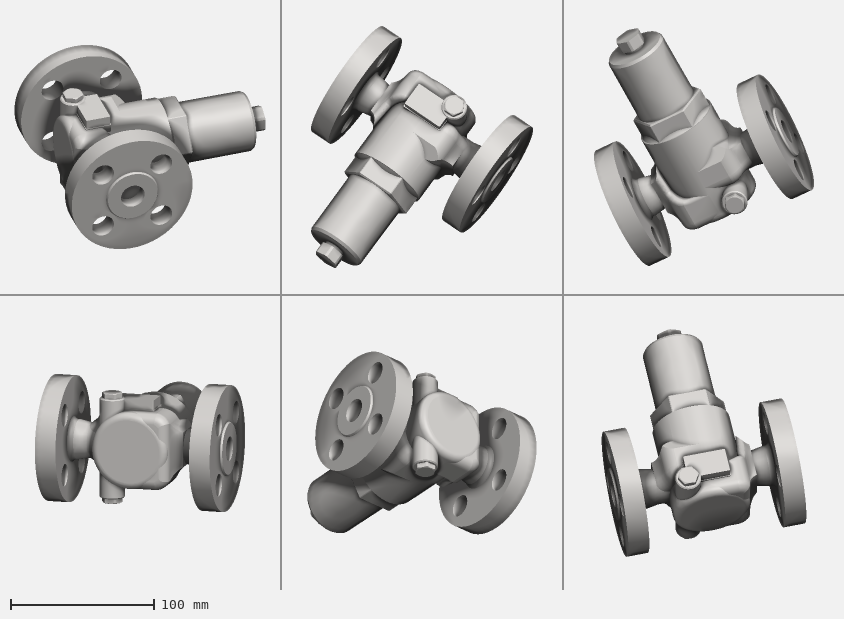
import cadquery as cq
import math


length = 130.0
overall_depth = 160.73
flange_dia = 88.9
flange_thickness = 15.0
raised_face_dia = 38.2
raised_face_height = 1.5
raised_face_inset = 0.9
bolt_circle_dia = 60.5
bolt_hole_dia = 15.9
bolt_hole_count = 4
first_bolt_angle = 45.0
bore_dia = 17.34
bore_depth = 10.0

hub_radius = 16.0
hub_blend_length = 4.0
hub_blend_mid_radius = 14.8
hub_end_radius = 14.2
waist_radius = 12.5
waist_x = 35.0
neck_inner_x = 12.0

body_dia = 55.0
body_bottom_y = -29.4
body_top_y = 42.6
body_bottom_fillet = 5.0
collar_base_radius = 26.5
collar_top_radius = 23.0
collar_height = 2.6

chamber_flat_x = 19.2
shoulder_mid = (24.8, 24.9)
shoulder_end = (28.5, 19.5)
hollow_mid = (31.4, 15.0)
outline_margin = 5.0

inlet_y_range = (-10.0, 21.5)
inlet_slope_length = 9.5
inlet_slope_drop = 6.3
inlet_fillet = 9.0
inlet_shoulder_x = 17.5
inlet_shoulder_mid = (23.8, 19.6)
inlet_shoulder_end = (27.5, 15.5)
inlet_hollow_mid = (30.4, 13.2)

outlet_y_range = (-29.0, 21.0)
outlet_rim_fillet = 3.0
outlet_lower_fillet = 7.0
outlet_rim_start = (14.0, -4.5)
outlet_rim_mid = (20.5, -2.3)
outlet_rim_end = (24.5, 3.0)
outlet_peak = (27.0, 21.0)
outlet_upper_hollow_mid = (30.2, 15.2)
rim_region_start = (1.0, -6.0)
rim_region_end = (26.5, 22.0)
outlet_lower_hollow_mid = (30.6, -16.5)
outlet_lower_hollow_end = (28.0, -23.0)
outlet_corner_mid = (26.0, -26.8)
outlet_corner_x = 22.0

hex_across_flats = 46.0
hex_corner_dia = 52.7
hex_top_y = 57.3
hex_chamfer = 1.0
bonnet_base_y = 58.4
bonnet_base_dia = 43.0
bonnet_top_dia = 42.6
bonnet_top_y = 105.7
bonnet_chamfer_radial = 1.3
bonnet_chamfer_axial = 2.0
screw_neck_dia = 15.0
screw_head_flats = 17.0
screw_head_corner_dia = 18.6
screw_head_base_y = 107.9
screw_top_y = overall_depth - flange_dia / 2

boss_x = -15.0
boss_y = -17.5
boss_dia = 18.0
boss_half_height = 35.6
boss_chamfer = 0.8
plug_across_flats = 13.0
plug_corner_dia = 14.6
plug_half_height = 39.4
plug_chamfer_height = 0.6
plug_chamfer_radial = 1.2

pad_x_range = (-15.0, 14.9)
pad_y_range = (-17.5, 0.1)
pad_top_z = 35.0
pad_corner_fillet = 0.7
pad_foot_margin = 0.6
pad_foot_top_z = 28.3


def turned_about_y(points):
    """Solid of revolution about Y from (radius, y) points."""
    return cq.Workplane("XY").polyline(points).close().revolve(360, (0, 0, 0), (0, 1, 0))


def y_cylinder(diameter, y_start, y_end):
    radius = diameter / 2
    return turned_about_y([(0, y_start), (radius, y_start), (radius, y_end), (0, y_end)])


def hex_circumdiameter(across_flats):
    return across_flats / math.cos(math.pi / 6)


def y_hexagon(across_flats, y_start, y_end, corners_on_x):
    """Hexagonal prism along Y with two corners on the X axis or on the Z axis."""
    height = y_end - y_start
    hexagon = (
        cq.Workplane("XZ", origin=(0, y_end, 0))
        .polygon(6, hex_circumdiameter(across_flats))
        .extrude(height)
    )
    return hexagon if corners_on_x else hexagon.rotate((0, 0, 0), (0, 1, 0), 30)


def make_pipe_end():
    """Flange, raised face, hub and neck on the +X side."""
    face_x = length / 2
    front_x = face_x - raised_face_height
    back_x = front_x - flange_thickness
    hub_end_x = back_x - hub_blend_length
    blend_mid = (back_x - hub_blend_length / 4, hub_blend_mid_radius)
    raised_radius = raised_face_dia / 2
    pipe_end = (
        cq.Workplane("XY")
        .moveTo(neck_inner_x, 0)
        .lineTo(neck_inner_x, waist_radius)
        .lineTo(waist_x, waist_radius)
        .lineTo(hub_end_x, hub_end_radius)
        .threePointArc(blend_mid, (back_x, hub_radius))
        .lineTo(back_x, flange_dia / 2)
        .lineTo(front_x, flange_dia / 2)
        .lineTo(front_x, raised_radius)
        .lineTo(face_x, raised_radius - raised_face_inset)
        .lineTo(face_x, 0)
        .close()
        .revolve(360, (0, 0, 0), (1, 0, 0))
    )
    bolt_holes = (
        cq.Workplane("YZ", origin=(back_x, 0, 0))
        .polarArray(bolt_circle_dia / 2, first_bolt_angle, 360, bolt_hole_count)
        .circle(bolt_hole_dia / 2)
        .extrude(flange_thickness)
    )
    bore = (
        cq.Workplane("YZ", origin=(face_x - bore_depth, 0, 0))
        .circle(bore_dia / 2)
        .extrude(bore_depth)
    )
    return pipe_end.cut(bolt_holes).cut(bore)


def make_body():
    barrel = y_cylinder(body_dia, body_bottom_y, body_top_y)
    barrel = barrel.faces("<Y").edges().fillet(body_bottom_fillet)
    collar_top_y = body_top_y + collar_height
    collar = turned_about_y([
        (0, body_top_y),
        (collar_base_radius, body_top_y),
        (collar_top_radius, collar_top_y),
        (0, collar_top_y),
    ])
    return barrel.union(collar)


def mirrored_z(point):
    x, z = point
    return (x, -z)


def make_chamber(y_range, lower_fillet):
    """Chamber on the +X side: full body height, narrowing to the neck, rounded below."""
    y_start, y_end = y_range
    half = body_dia / 2
    chamber = (
        cq.Workplane("XZ", origin=(0, y_end, 0))
        .moveTo(0, half)
        .lineTo(chamber_flat_x, half)
        .threePointArc(shoulder_mid, shoulder_end)
        .threePointArc(hollow_mid, (waist_x, waist_radius))
        .lineTo(waist_x, -waist_radius)
        .threePointArc(mirrored_z(hollow_mid), mirrored_z(shoulder_end))
        .threePointArc(mirrored_z(shoulder_mid), (chamber_flat_x, -half))
        .lineTo(0, -half)
        .close()
        .extrude(y_end - y_start)
    )
    return chamber.faces("<Y").edges("not(#X)").fillet(lower_fillet)


def make_inlet_chamber():
    """High chamber on the -X side, with a sloped upper end blending into the barrel."""
    y_start, y_end = inlet_y_range
    half = body_dia / 2
    slope_start_y = y_end - inlet_slope_length
    overshoot = 1.0
    slope_overshoot = overshoot * inlet_slope_length / inlet_slope_drop
    side_limits = (
        cq.Workplane("YZ", origin=(-overshoot, 0, 0))
        .polyline([
            (y_start - overshoot, half + overshoot),
            (slope_start_y - slope_overshoot, half + overshoot),
            (y_end, half - inlet_slope_drop),
            (y_end, inlet_slope_drop - half),
            (slope_start_y - slope_overshoot, -half - overshoot),
            (y_start - overshoot, -half - overshoot),
        ])
        .close()
        .extrude(waist_x + outline_margin)
    )
    plan_limits = (
        cq.Workplane("XY", origin=(0, 0, -body_dia))
        .moveTo(0, y_end)
        .lineTo(inlet_shoulder_x, y_end)
        .threePointArc(inlet_shoulder_mid, inlet_shoulder_end)
        .threePointArc(inlet_hollow_mid, (waist_x, waist_radius))
        .lineTo(waist_x, y_start)
        .lineTo(0, y_start)
        .close()
        .extrude(2 * body_dia)
    )
    chamber = make_chamber(inlet_y_range, inlet_fillet)
    return chamber.intersect(side_limits).intersect(plan_limits).mirror("YZ")


def make_outlet_chamber():
    """Low chamber on the +X side, reaching down to the body bottom."""
    y_start = outlet_y_range[0]
    beyond_x = waist_x + outline_margin
    plan_limits = (
        cq.Workplane("XY", origin=(0, 0, -body_dia))
        .moveTo(-outline_margin, outlet_rim_start[1])
        .lineTo(*outlet_rim_start)
        .threePointArc(outlet_rim_mid, outlet_rim_end)
        .lineTo(*outlet_peak)
        .threePointArc(outlet_upper_hollow_mid, (waist_x, waist_radius))
        .lineTo(beyond_x, waist_radius)
        .lineTo(beyond_x, -waist_radius)
        .lineTo(waist_x, -waist_radius)
        .threePointArc(outlet_lower_hollow_mid, outlet_lower_hollow_end)
        .threePointArc(outlet_corner_mid, (outlet_corner_x, y_start))
        .lineTo(-outline_margin, y_start)
        .close()
        .extrude(2 * body_dia)
    )
    chamber = make_chamber(outlet_y_range, outlet_lower_fillet).intersect(plan_limits)
    rim = cq.selectors.BoxSelector((*rim_region_start, -body_dia), (*rim_region_end, body_dia))
    return chamber.edges(rim).fillet(outlet_rim_fillet)


def make_bonnet():
    hexagon = y_hexagon(hex_across_flats, body_top_y, hex_top_y, True)
    hex_limits = y_cylinder(hex_corner_dia, body_top_y, hex_top_y)
    hexagon = hexagon.intersect(hex_limits).faces(">Y").edges().chamfer(hex_chamfer)
    top_radius = bonnet_top_dia / 2
    cap = turned_about_y([
        (0, hex_top_y),
        (bonnet_base_dia / 2, hex_top_y),
        (bonnet_base_dia / 2, bonnet_base_y),
        (top_radius, bonnet_top_y - bonnet_chamfer_axial),
        (top_radius - bonnet_chamfer_radial, bonnet_top_y),
        (0, bonnet_top_y),
    ])
    return hexagon.union(cap)


def make_screw():
    neck = y_cylinder(screw_neck_dia, bonnet_top_y, screw_head_base_y)
    head = y_hexagon(screw_head_flats, screw_head_base_y, screw_top_y, False)
    head = head.intersect(y_cylinder(screw_head_corner_dia, screw_head_base_y, screw_top_y))
    return neck.union(head)


def make_gauge_bosses():
    at_axis = cq.Workplane("XY").center(boss_x, boss_y)
    boss = at_axis.circle(boss_dia / 2).extrude(boss_half_height, both=True)
    boss = boss.faces("<Z or >Z").edges().chamfer(boss_chamfer)
    plug = at_axis.polygon(6, hex_circumdiameter(plug_across_flats)).extrude(plug_half_height, both=True)
    plug_limits = at_axis.circle(plug_corner_dia / 2).extrude(plug_half_height, both=True)
    plug_limits = plug_limits.faces("<Z or >Z").edges().chamfer(plug_chamfer_height, plug_chamfer_radial)
    return boss.union(plug.intersect(plug_limits))


def make_pad_block(margin, top_z):
    x_start, x_end = pad_x_range
    y_start, y_end = pad_y_range
    return (
        cq.Workplane("XY")
        .center((x_start + x_end) / 2, (y_start + y_end) / 2)
        .rect(x_end - x_start + 2 * margin, y_end - y_start + 2 * margin)
        .extrude(top_z)
        .edges("|Z")
        .fillet(pad_corner_fillet)
    )


def make_pad():
    foot = make_pad_block(pad_foot_margin, pad_foot_top_z)
    return make_pad_block(0, pad_top_z).union(foot)


outlet = make_pipe_end()
inlet = outlet.mirror("YZ")
result = make_body()
for piece in (
    make_inlet_chamber(),
    make_outlet_chamber(),
    outlet,
    inlet,
    make_bonnet(),
    make_screw(),
    make_gauge_bosses(),
    make_pad(),
):
    result = result.union(piece)